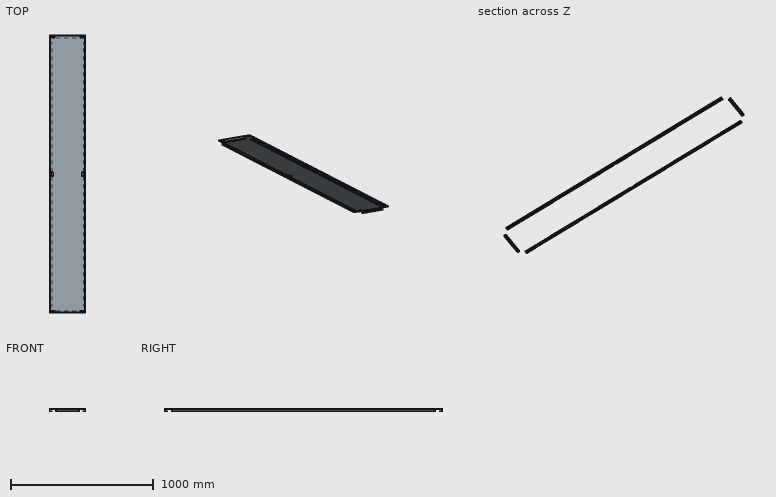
import cadquery as cq

width = 248.0
length = 1940.0
height = 18.0
thickness = 1.5

end_flange_length = 163.0
side_flange_length = 1843.0
lip_width = 15.0

slot_width = 12.0
slot_length = 27.0
slot_inset = 17.0

notch_width = 10.0
notch_depth = 14.0
notch_pitch = 12.0


def folded_edge(panel_span, flange_length):
    """Flange with an inward lip, folded down from the +X edge of a panel of the given span."""
    outer = panel_span / 2
    inner = outer - thickness
    lip_end = outer - lip_width
    profile = (
        cq.Workplane("XZ")
        .moveTo(lip_end, 0)
        .lineTo(outer, 0)
        .lineTo(outer, height)
        .lineTo(inner, height)
        .lineTo(inner, thickness)
        .lineTo(lip_end, thickness)
        .close()
    )
    return profile.extrude(flange_length / 2, both=True)


def flat_panel():
    """Flat sheet at the top of the part."""
    panel = cq.Workplane("XY").box(width, length, thickness, centered=(True, True, False))
    return panel.translate((0, 0, height - thickness))


def corner_notches():
    """A pair of open notches at each corner, with a thin tongue of sheet left between them."""
    outer_x = width / 2 - slot_inset
    notch_y = (length - notch_depth) / 2
    centres = [
        (side * notch_x, end * notch_y)
        for side in (-1, 1)
        for end in (-1, 1)
        for notch_x in (outer_x, outer_x - notch_pitch)
    ]
    return cq.Workplane("XY").pushPoints(centres).rect(notch_width, notch_depth).extrude(height)


def middle_slots():
    """Oblong holes passing through the panel and the side lips."""
    slot_x = width / 2 - slot_inset
    slots = cq.Workplane("XY").pushPoints([(-slot_x, 0), (slot_x, 0)])
    return slots.slot2D(slot_length, slot_width, 90).extrude(height)


result = flat_panel()
for angle in (0, 180):
    result = result.union(folded_edge(width, side_flange_length).rotate((0, 0, 0), (0, 0, 1), angle))
for angle in (90, 270):
    result = result.union(folded_edge(length, end_flange_length).rotate((0, 0, 0), (0, 0, 1), angle))
result = result.cut(corner_notches()).cut(middle_slots())